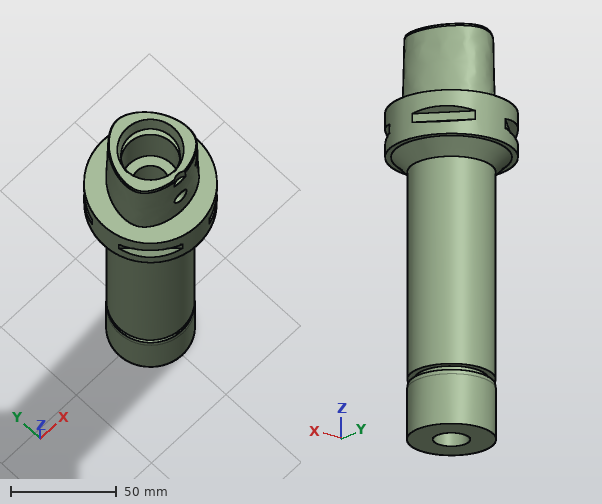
import cadquery as cq
import math

TOTAL_LENGTH = 203.0
NUT_TOP = 27.5
SHANK_BOTTOM = 30.5
CONE_BOTTOM = 135.5
FLANGE_BOTTOM = 143.0
FLANGE_TOP = 165.0

FLANGE_RADIUS = 31.5
SHANK_RADIUS = 21.0
NUT_RADIUS = 21.1
NECK_RADIUS = 17.7
CONE_TOP_RADIUS = 28.6

RIM_BEVEL_HEIGHT = 2.0
RIM_BEVEL_INSET = 0.3

COUPLING_RADIUS = 22.0
LOBE_OFFSET = 1.38
TAPER_SLOPE = 1 / 40
TIP_CHAMFER_HEIGHT = 1.2
TIP_CHAMFER_INSET = 0.5

MOUTH_RADIUS = 15.73
BORE_RADIUS = 14.0
GROOVE_RADIUS = 18.3
MOUTH_DEPTH = 7.1
GROOVE_WALL_DEPTH = MOUTH_DEPTH + GROOVE_RADIUS - BORE_RADIUS
GROOVE_FLOOR_DEPTH = 13.5
BORE_DEPTH = TOTAL_LENGTH - FLANGE_TOP
THROUGH_RADIUS = 8.83

NOTCH_DEPTH = 6.0
NOTCH_RADIUS = 5.5
NOTCH_FLOOR = 18.0
POCKET_RADIUS = 4.0
POCKET_HEIGHT = 180.7
POCKET_FLOOR = 15.0

GRIPPER_COUNT = 4
GRIPPER_HEIGHT = 153.0
GRIPPER_FLOOR = 27.6
GRIPPER_FLOOR_WIDTH = 4.3
GRIPPER_MOUTH_WIDTH = 8.0


def revolve_profile(points):
    """Turn a closed (radius, height) outline about the Z axis."""
    return cq.Workplane("XZ").polyline(points).close().revolve(360, (0, 0, 0), (0, 1, 0))


def lobed_outline(radius, height):
    """Closed three-lobed curve with one lobe pointing to +Y."""

    def point(turn):
        a = 2 * math.pi * turn
        along = radius * math.cos(a) - 2 * LOBE_OFFSET * math.cos(2 * a) + LOBE_OFFSET * math.cos(4 * a)
        across = radius * math.sin(a) + 2 * LOBE_OFFSET * math.sin(2 * a) + LOBE_OFFSET * math.sin(4 * a)
        return across, -along

    samples = 48
    points = [cq.Vector(*point(i / samples), height) for i in range(samples)]
    return cq.Wire.assembleEdges([cq.Edge.makeSpline(points, periodic=True)])


def make_coupling():
    """Tapered lobed coupling with a chamfered tip."""
    chamfer_start = TOTAL_LENGTH - TIP_CHAMFER_HEIGHT
    chamfer_radius = COUPLING_RADIUS - TAPER_SLOPE * (chamfer_start - FLANGE_TOP)
    base = lobed_outline(COUPLING_RADIUS, FLANGE_TOP)
    shoulder = lobed_outline(chamfer_radius, chamfer_start)
    tip = lobed_outline(chamfer_radius - TIP_CHAMFER_INSET, TOTAL_LENGTH)
    taper = cq.Solid.makeLoft([base, shoulder], True)
    chamfer = cq.Solid.makeLoft([shoulder, tip], True)
    return cq.Workplane(taper).union(cq.Workplane(chamfer))


def make_shank():
    """Round neck, shank, cone and flange below the coupling."""
    return revolve_profile([
        (0, NUT_TOP),
        (NECK_RADIUS, NUT_TOP),
        (NECK_RADIUS, SHANK_BOTTOM),
        (SHANK_RADIUS, SHANK_BOTTOM),
        (SHANK_RADIUS, CONE_BOTTOM),
        (CONE_TOP_RADIUS, FLANGE_BOTTOM),
        (FLANGE_RADIUS, FLANGE_BOTTOM),
        (FLANGE_RADIUS, FLANGE_TOP),
        (0, FLANGE_TOP),
    ])


def make_bore():
    """Cutter for the stepped bore of the holder."""
    return revolve_profile([
        (0, TOTAL_LENGTH),
        (MOUTH_RADIUS, TOTAL_LENGTH),
        (BORE_RADIUS, TOTAL_LENGTH - MOUTH_DEPTH),
        (GROOVE_RADIUS, TOTAL_LENGTH - GROOVE_WALL_DEPTH),
        (GROOVE_RADIUS, TOTAL_LENGTH - GROOVE_FLOOR_DEPTH),
        (BORE_RADIUS, TOTAL_LENGTH - GROOVE_FLOOR_DEPTH),
        (BORE_RADIUS, TOTAL_LENGTH - BORE_DEPTH),
        (THROUGH_RADIUS, TOTAL_LENGTH - BORE_DEPTH),
        (THROUGH_RADIUS, NUT_TOP),
        (0, NUT_TOP),
    ])


def make_notch():
    """Cutter for the round-walled notch in the coupling tip."""
    return (
        cq.Workplane("XY", origin=(0, -NOTCH_FLOOR - NOTCH_RADIUS, TOTAL_LENGTH - NOTCH_DEPTH))
        .circle(NOTCH_RADIUS)
        .extrude(NOTCH_DEPTH)
    )


def make_pocket():
    """Cutter for the blind round pocket in the side of the coupling."""
    return (
        cq.Workplane("XZ", origin=(0, -POCKET_FLOOR, POCKET_HEIGHT))
        .circle(POCKET_RADIUS)
        .extrude(COUPLING_RADIUS - POCKET_FLOOR)
    )


def make_gripper_slot(angle):
    """Cutter for one straight slot with flared sides, turned about Z."""
    half_floor = GRIPPER_FLOOR_WIDTH / 2
    half_mouth = GRIPPER_MOUTH_WIDTH / 2
    return (
        cq.Workplane("XZ", origin=(0, 0, GRIPPER_HEIGHT))
        .polyline([
            (GRIPPER_FLOOR, -half_floor),
            (FLANGE_RADIUS, -half_mouth),
            (FLANGE_RADIUS, half_mouth),
            (GRIPPER_FLOOR, half_floor),
        ])
        .close()
        .extrude(FLANGE_RADIUS, both=True)
        .rotate((0, 0, 0), (0, 0, 1), angle)
    )


def make_holder():
    """Tool holder: shank, flange and coupling with all its cuts."""
    body = make_shank().union(make_coupling())
    body = body.cut(make_bore()).cut(make_notch()).cut(make_pocket())
    spacing = 360 / GRIPPER_COUNT
    for i in range(GRIPPER_COUNT):
        body = body.cut(make_gripper_slot((i + 0.5) * spacing))
    return body


def make_nut():
    """Clamping nut: a ring below the neck with a steep bevel on its upper rim."""
    return revolve_profile([
        (THROUGH_RADIUS, 0),
        (NUT_RADIUS, 0),
        (NUT_RADIUS, NUT_TOP - RIM_BEVEL_HEIGHT),
        (NUT_RADIUS - RIM_BEVEL_INSET, NUT_TOP),
        (THROUGH_RADIUS, NUT_TOP),
    ])


holder = make_holder()
nut = make_nut()
result = cq.Compound.makeCompound([holder.solids().val(), nut.val()])